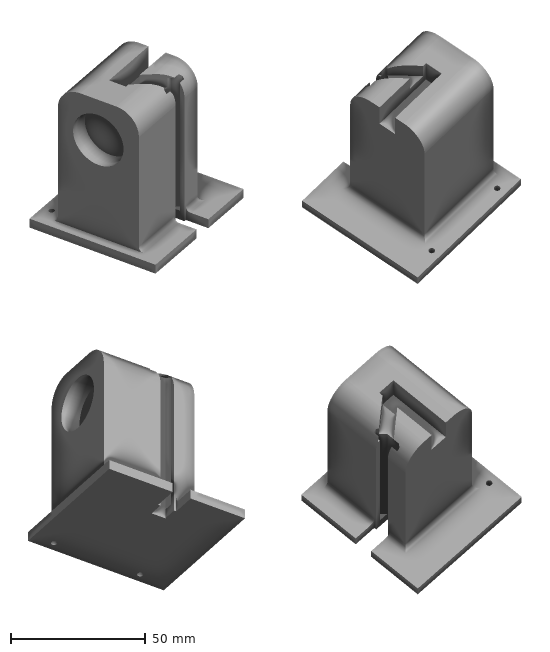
import cadquery as cq
import math


plate_width = 56.0
plate_length = 60.0
plate_thickness = 4.0

total_height = 65.5
body_width = 36.0
body_front = 4.0
body_length = 40.0
body_back = body_front + body_length
body_side = body_width / 2
roof_radius = 10.0
cove_radius = 2.0

bore_diameter = 22.4
bore_depth = 8.0
bore_center_z = 47.5

screw_diameter = 2.4
screw_edge_distance = 4.0
screw_positions_y = (9.0, 47.0)

slot_width = 7.6
slot_front = 17.0
slot_depth = 10.0

groove_center_y = 32.0
mouth_width = 6.0
lip_thickness = 2.0
key_width = 12.0
key_depth = 6.0
key_ceiling = 2.0
key_taper = (key_width - mouth_width) / 2

notch_width = 8.0

channel_width = 6.0
channel_depth = 6.3
channel_angle = 38.0


def box(x_min, x_max, y_min, y_max, z_min, z_max):
    """Axis-aligned block between the given limits."""
    return cq.Workplane("XY").box(
        x_max - x_min, y_max - y_min, z_max - z_min, centered=False
    ).translate((x_min, y_min, z_min))


def plate():
    """Base plate with its two screw holes."""
    blank = box(-plate_width / 2, plate_width / 2, 0, plate_length, 0, plate_thickness)
    screw_x = -plate_width / 2 + screw_edge_distance
    screws = (
        cq.Workplane("XY")
        .pushPoints([(screw_x, y) for y in screw_positions_y])
        .circle(screw_diameter / 2)
        .extrude(plate_thickness)
    )
    return blank.cut(screws)


def arc_middle(center_x, center_z, radius, angle):
    """Point on an arc at the given angle in degrees."""
    turn = math.radians(angle)
    return (center_x + radius * math.cos(turn), center_z + radius * math.sin(turn))


def body():
    """Round-shouldered housing with mitred coves on the left, right and back."""
    foot_side = body_side + cove_radius
    foot_back = body_back + cove_radius
    cove_top = plate_thickness + cove_radius
    shoulder_x = body_side - roof_radius
    shoulder_z = total_height - roof_radius

    cross_section = (
        cq.Workplane("XZ")
        .moveTo(-foot_side, plate_thickness)
        .threePointArc(arc_middle(-foot_side, cove_top, cove_radius, -45), (-body_side, cove_top))
        .lineTo(-body_side, shoulder_z)
        .threePointArc(arc_middle(-shoulder_x, shoulder_z, roof_radius, 135), (-shoulder_x, total_height))
        .lineTo(shoulder_x, total_height)
        .threePointArc(arc_middle(shoulder_x, shoulder_z, roof_radius, 45), (body_side, shoulder_z))
        .lineTo(body_side, cove_top)
        .threePointArc(arc_middle(foot_side, cove_top, cove_radius, -135), (foot_side, plate_thickness))
        .close()
        .extrude(-foot_back)
    )
    side_profile = (
        cq.Workplane("YZ")
        .moveTo(body_front, plate_thickness)
        .lineTo(body_front, total_height)
        .lineTo(body_back, total_height)
        .lineTo(body_back, cove_top)
        .threePointArc(arc_middle(foot_back, cove_top, cove_radius, -135), (foot_back, plate_thickness))
        .close()
        .extrude(foot_side, both=True)
    )
    return cross_section.intersect(side_profile)


def front_bore():
    """Blind round bore entering from the front face."""
    return (
        cq.Workplane("XZ", origin=(0, body_front, bore_center_z))
        .circle(bore_diameter / 2)
        .extrude(-bore_depth)
    )


def roof_slot():
    """Straight slot in the roof, running out through the back."""
    return box(
        -slot_width / 2, slot_width / 2, slot_front, body_back,
        total_height - slot_depth, total_height,
    )


def slanted_channel():
    """Channel from the slot to the inner face of the groove lip."""
    end_x = body_side - lip_thickness
    length = end_x / math.cos(math.radians(channel_angle))
    floor = total_height - channel_depth
    channel = box(-length, 0, -channel_width / 2, channel_width / 2, floor, total_height)
    channel = channel.rotate((0, 0, 0), (0, 0, 1), channel_angle).translate((end_x, groove_center_y, 0))
    right_of_slot = box(slot_width / 2, plate_width / 2, 0, plate_length, floor, total_height)
    return channel.intersect(right_of_slot)


def keyed_groove():
    """Vertical groove in the right side, with its mouth and the openings in the plate."""
    key_outer = body_side - lip_thickness
    key_inner = body_side - key_depth
    key_shoulder = key_inner + key_taper
    key_top = total_height - key_ceiling
    key = (
        cq.Workplane("XY", origin=(0, groove_center_y, plate_thickness))
        .polyline([
            (key_inner, -mouth_width / 2),
            (key_shoulder, -key_width / 2),
            (key_outer, -key_width / 2),
            (key_outer, key_width / 2),
            (key_shoulder, key_width / 2),
            (key_inner, mouth_width / 2),
        ])
        .close()
        .extrude(key_top - plate_thickness)
    )
    mouth = box(
        key_inner, body_side,
        groove_center_y - mouth_width / 2, groove_center_y + mouth_width / 2,
        0, key_top,
    )
    notch = box(
        body_side, plate_width / 2,
        groove_center_y - notch_width / 2, groove_center_y + notch_width / 2,
        0, plate_thickness + cove_radius,
    )
    return key.union(mouth).union(notch)


result = (
    plate()
    .union(body())
    .cut(front_bore())
    .cut(roof_slot())
    .cut(slanted_channel())
    .cut(keyed_groove())
)